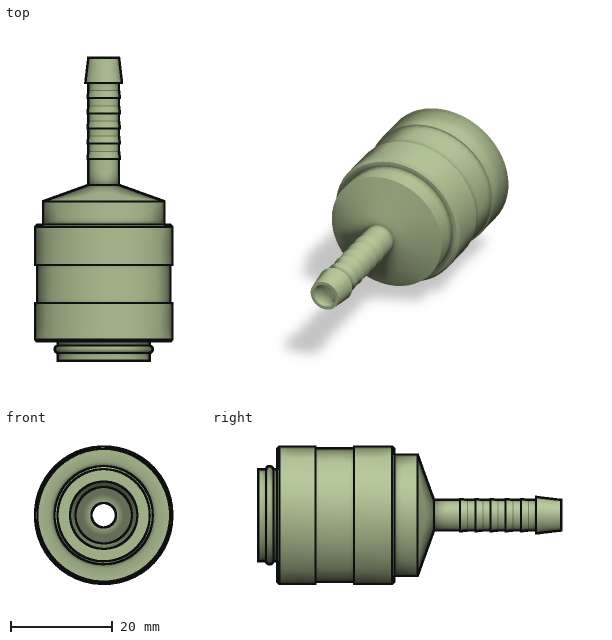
import cadquery as cq

length = 59.5

stem_radius = 3.05
stem_length = 25.0
tip_length = 5.0
tip_base_radius = 3.6
barb_count = 5
barb_pitch = 3.0
barb_length = 1.5
barb_radius = 3.2

shoulder_radius = 11.95
shoulder_cone_length = 3.2
shoulder_end = 26.7

body_radius = 13.5
waist_radius = 13.15
body_start = 3.75
waist_start = 11.3
waist_end = 18.8
body_chamfer = 0.5
recess_clearance = 0.6

nose_radius = 9.05
bead_radius = 9.65
bead_center = 2.25
bead_half_width = 0.7

socket_radius = 6.6
socket_depth = 17.85
socket_floor_radius = 5.55
socket_cone_length = socket_radius - socket_floor_radius
passage_radius = 2.4


def frustum(start, end, start_radius, end_radius):
    """Solid of revolution about Y with straight sides."""
    return (
        cq.Workplane("XY")
        .polyline([(0, start), (start_radius, start), (end_radius, end), (0, end)])
        .close()
        .revolve(360, (0, 0, 0), (0, 1, 0))
    )


def cylinder(start, end, radius):
    return frustum(start, end, radius, radius)


def make_body():
    collars = cylinder(body_start, shoulder_end, body_radius).edges().chamfer(body_chamfer)
    recess = cylinder(waist_start, waist_end, body_radius + recess_clearance).cut(
        cylinder(waist_start, waist_end, waist_radius)
    )
    return collars.cut(recess)


def make_nose():
    return (
        cq.Workplane("XY")
        .lineTo(nose_radius, 0)
        .lineTo(nose_radius, bead_center - bead_half_width)
        .threePointArc((bead_radius, bead_center), (nose_radius, bead_center + bead_half_width))
        .lineTo(nose_radius, body_start)
        .lineTo(0, body_start)
        .close()
        .revolve(360, (0, 0, 0), (0, 1, 0))
    )


def make_shoulder():
    cone_start = length - stem_length - shoulder_cone_length
    cone_end = length - stem_length
    straight = cylinder(shoulder_end, cone_start, shoulder_radius)
    return straight.union(frustum(cone_start, cone_end, shoulder_radius, stem_radius))


def make_stem():
    tip_base = length - tip_length
    stem = cylinder(length - stem_length, tip_base, stem_radius)
    stem = stem.union(frustum(tip_base, length, tip_base_radius, stem_radius))
    for index in range(1, barb_count + 1):
        barb_base = tip_base - index * barb_pitch
        stem = stem.union(frustum(barb_base, barb_base + barb_length, barb_radius, stem_radius))
    return stem


def make_bore():
    cone_end = socket_depth + socket_cone_length
    socket = cylinder(0, socket_depth, socket_radius)
    taper = frustum(socket_depth, cone_end, socket_radius, socket_floor_radius)
    return socket.union(taper).union(cylinder(0, length, passage_radius))


outside = make_body().union(make_nose()).union(make_shoulder()).union(make_stem())
result = outside.cut(make_bore())